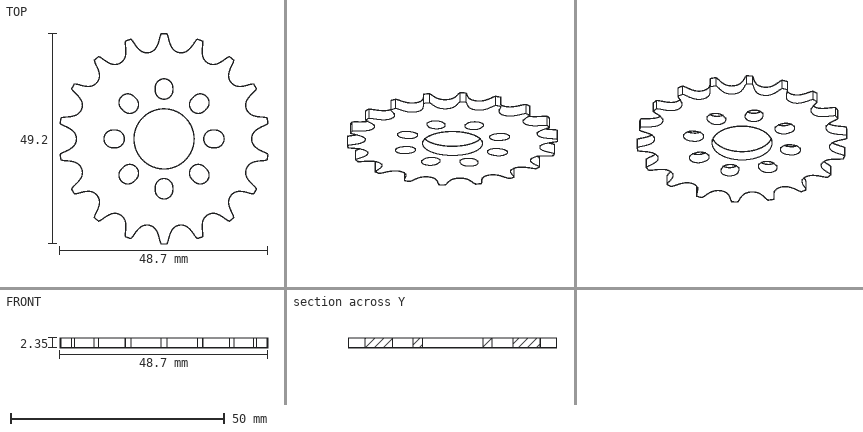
import cadquery as cq
import math


thickness = 2.35
tip_radius = 24.6
bore_diameter = 14.0

tooth_count = 18
pitch_radius = 23.05
roller_diameter = 5.0
tooth_pitch_angle = 360 / tooth_count
first_gap_angle = 0.0

slot_count = 8
slot_circle_radius = 11.65
slot_length = 4.7
slot_width = 4.1

seat_radius = 0.5025 * roller_diameter
seat_end_angle = 35 + 60 / tooth_count
flank_arc_angle = 18 - 56 / tooth_count
flank_center_offset = 0.8 * roller_diameter
flank_radius = seat_radius + flank_center_offset
tip_arc_center_offset = 1.4 * roller_diameter
tip_arc_center_angle = 180 / tooth_count
straight_length = (
    tip_arc_center_offset * math.sin(math.radians(17 - 64 / tooth_count))
    - flank_center_offset * math.sin(math.radians(flank_arc_angle))
)


def polar(radius, angle, center=(0.0, 0.0)):
    """Point at a radius and an angle in degrees from a center."""
    a = math.radians(angle)
    return (center[0] + radius * math.cos(a), center[1] + radius * math.sin(a))


def tip_corner(arc_center, arc_radius):
    """Point where the upper flank arc meets the outer circle, on the side facing the gap."""
    center_distance = math.hypot(*arc_center)
    center_angle = math.atan2(arc_center[1], arc_center[0])
    cos_turn = (tip_radius**2 + center_distance**2 - arc_radius**2) / (2 * tip_radius * center_distance)
    return polar(tip_radius, math.degrees(center_angle + math.acos(cos_turn)))


def half_gap_points():
    """Points from the gap bottom up its right flank, for a gap centered on +Y."""
    roller_center = (0.0, pitch_radius)
    gap_bottom = (0.0, pitch_radius - seat_radius)

    seat_end = polar(seat_radius, -seat_end_angle, roller_center)
    flank_center = polar(flank_center_offset, 180 - seat_end_angle, roller_center)
    flank_end_angle = flank_arc_angle - seat_end_angle
    flank_middle = polar(flank_radius, flank_arc_angle / 2 - seat_end_angle, flank_center)
    flank_end = polar(flank_radius, flank_end_angle, flank_center)

    straight_end = polar(straight_length, flank_end_angle + 90, flank_end)
    tip_arc_center = polar(tip_arc_center_offset, -tip_arc_center_angle, roller_center)
    tip_arc_radius = math.dist(straight_end, tip_arc_center)
    corner = tip_corner(tip_arc_center, tip_arc_radius)
    start_angle, end_angle = (
        math.degrees(math.atan2(p[1] - tip_arc_center[1], p[0] - tip_arc_center[0]))
        for p in (straight_end, corner)
    )
    tip_arc_middle = polar(tip_arc_radius, (start_angle + end_angle) / 2, tip_arc_center)

    return [gap_bottom, seat_end, flank_middle, flank_end, straight_end, tip_arc_middle, corner]


def turned(point, angle):
    """Point turned about the origin by an angle in degrees."""
    return polar(math.hypot(*point), math.degrees(math.atan2(point[1], point[0])) + angle)


def toothed_plate():
    """Plate whose outline is drawn gap by gap, counter-clockwise."""
    right = half_gap_points()
    left = [(-x, y) for x, y in right]
    corner_angle = math.degrees(math.atan2(right[-1][1], right[-1][0]))
    tip_middle = polar(tip_radius, 90 + tooth_pitch_angle / 2)
    next_corner = polar(tip_radius, corner_angle + tooth_pitch_angle)

    first_turn = first_gap_angle - 90
    outline = cq.Workplane("XY").moveTo(*turned(right[-1], first_turn))
    for i in range(tooth_count):
        turn = first_turn + i * tooth_pitch_angle
        bottom, seat_r, flank_mid_r, flank_r, straight_r, tip_mid_r, _ = (turned(p, turn) for p in right)
        _, seat_l, flank_mid_l, flank_l, straight_l, tip_mid_l, corner_l = (turned(p, turn) for p in left)
        outline = (
            outline.threePointArc(tip_mid_r, straight_r)
            .lineTo(*flank_r)
            .threePointArc(flank_mid_r, seat_r)
            .threePointArc(bottom, seat_l)
            .threePointArc(flank_mid_l, flank_l)
            .lineTo(*straight_l)
            .threePointArc(tip_mid_l, corner_l)
            .threePointArc(turned(tip_middle, turn), turned(next_corner, turn))
        )
    return outline.close().extrude(thickness)


def bore():
    return cq.Workplane("XY").circle(bore_diameter / 2).extrude(thickness)


def radial_slots():
    """Slots with their long axis pointing at the center of the plate."""
    return (
        cq.Workplane("XY")
        .polarArray(slot_circle_radius, 0, 360, slot_count)
        .slot2D(slot_length, slot_width)
        .extrude(thickness)
    )


result = toothed_plate().cut(bore()).cut(radial_slots())